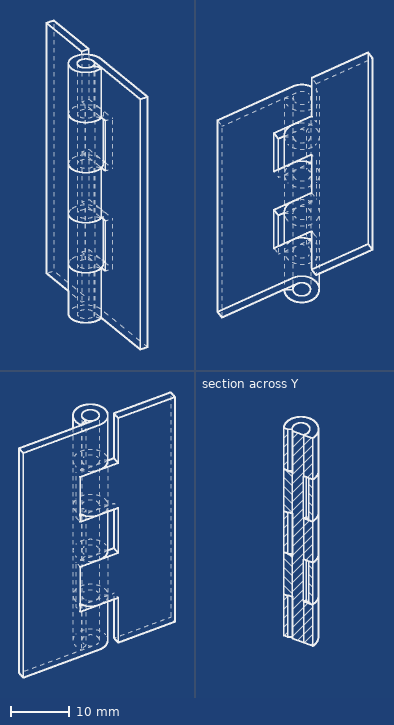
import cadquery as cq
import math

hinge_height = 50.0
hinge_width = 30.0
leaf_thickness = 1.5
pin_radius = 1.5
knuckle_count = 5
leaf_edge_offset = 3.75
curl_end_angle = 28.0

half_width = hinge_width / 2
knuckle_radius = pin_radius + leaf_thickness
knuckle_height = hinge_height / knuckle_count


def curl_point(radius):
    """Point on the free end of the curl at the given distance from the pin axis."""
    angle = math.radians(curl_end_angle)
    return (radius * math.cos(angle), radius * math.sin(angle))


def make_knuckle(index):
    """Strip leaving the leaf on the +X side and rolled around the pin, open beside the leaf."""
    middle_angle = math.radians((90 + 360 + curl_end_angle) / 2)

    def middle_point(radius):
        return (radius * math.cos(middle_angle), radius * math.sin(middle_angle))

    return (
        cq.Workplane("XY", origin=(0, 0, index * knuckle_height))
        .moveTo(leaf_edge_offset, knuckle_radius)
        .lineTo(0, knuckle_radius)
        .threePointArc(middle_point(knuckle_radius), curl_point(knuckle_radius))
        .lineTo(*curl_point(pin_radius))
        .threePointArc(middle_point(pin_radius), (0, pin_radius))
        .lineTo(leaf_edge_offset, pin_radius)
        .close()
        .extrude(knuckle_height)
    )


def make_leaf(first_knuckle):
    """Flat plate on the +X side carrying every second knuckle from first_knuckle up."""
    leaf = cq.Workplane("XY").box(
        half_width - leaf_edge_offset, leaf_thickness, hinge_height, centered=False
    ).translate((leaf_edge_offset, pin_radius, 0))
    for index in range(first_knuckle, knuckle_count, 2):
        leaf = leaf.union(make_knuckle(index))
    return leaf.clean().solids()


def make_pin():
    """Plain pin, flush with both ends of the hinge."""
    return cq.Workplane("XY").circle(pin_radius).extrude(hinge_height)


right_leaf = make_leaf(first_knuckle=0)
left_leaf = make_leaf(first_knuckle=1).mirror("YZ").solids()
pin = make_pin()

result = cq.Compound.makeCompound([right_leaf.val(), left_leaf.val(), pin.val()])